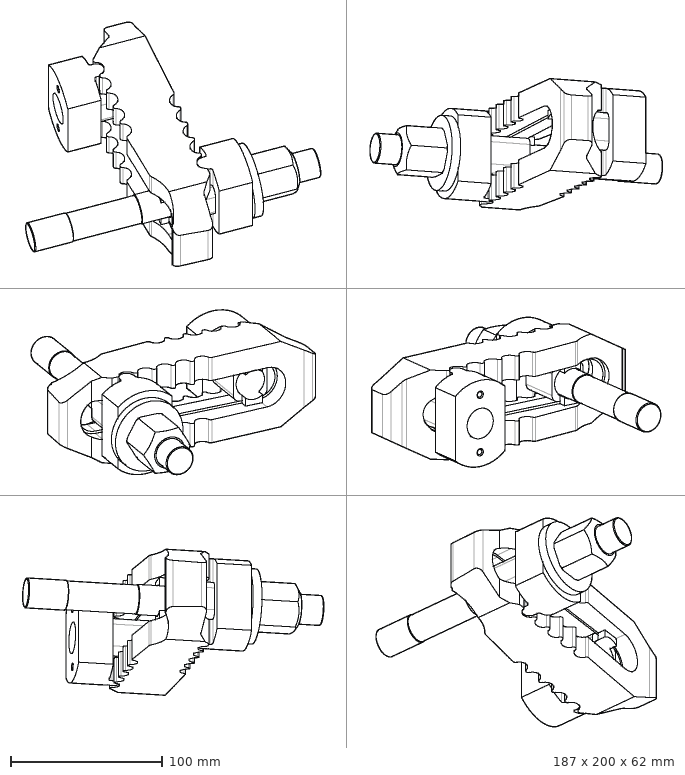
import cadquery as cq
import math


BAR_WIDTH = 62.0
BAR_LEFT = -143.0
BAR_RIGHT = 44.3
CREST_Y = 21.05
END_HALF_WIDTH = 15.0
END_TAPER_ANGLE = 30.0
CORNER_RADIUS = 4.0

HEEL_TOP_Y = 17.8
HEEL_BOTTOM_Y = -1.9
HEEL_FLAT_END_X = -133.0
HEEL_SLOPE_ANGLE = 41.3
HEEL_BLEND_RADIUS = 4.5

NOSE_TOP_Y = 12.9
NOSE_SLOPE_TOP_X = 11.0
NOSE_SLOPE_BOTTOM_X = 22.2
NOSE_FACE_ANGLE = 4.0
TOE_BOTTOM_Y = -14.1
TOE_INNER_X = 38.0
ARCH_RADIUS = 31.0
ARCH_CENTER_X = 20.4
ARCH_TOP_Y = -9.3
ARCH_LEFT_X = 0.0
BELLY_BLEND_RADIUS = 4.0

GROOVE_PITCH = 14.0
GROOVE_COUNT = 5
GROOVE_RADIUS = 5.5
GROOVE_DEPTH = 5.2

SLOT_LEFT_CENTER = -104.8
SLOT_RIGHT_CENTER = 15.8
SLOT_WIDTH = 28.4
LIP_SLOT_WIDTH = 25.0
LIP_HALF_THICKNESS = 6.0

SADDLE_SPAN = 99.0
SADDLE_DIAMETER = 60.0
SADDLE_WIDTH = 40.0
SADDLE_INNER_Y = 24.4
SADDLE_OUTER_Y = 47.8
SADDLE_BORE = 21.0
TONGUE_ROOT_RADIUS = 1.5
SHANK_WIDTH = 25.0
SHANK_CORNER_RADIUS = 5.0
LUG_WIDTH = 12.6
LUG_LENGTH = SLOT_WIDTH
LUG_THICKNESS = 5.6
PIN_HOLE_OFFSET = 20.0
PIN_HOLE_DIAMETER = 3.6
PIN_HOLE_DEPTH = 10.0
PIN_HOLE_CHAMFER = 0.7
PIN_POINT_ANGLE = 118.0

WASHER_DIAMETER = 50.0
WASHER_THICKNESS = 6.0
NUT_ACROSS_FLATS = 30.0
NUT_HEIGHT = 30.0
NUT_TOP_RADIUS = 11.1
NUT_TOP_CONE_HEIGHT = 4.0
NUT_BOTTOM_RADIUS = 16.3
NUT_BOTTOM_CONE_HEIGHT = 1.0
STUD_DIAMETER = 20.0
STUD_BOTTOM_Y = -100.9
STUD_LENGTH = 200.0
NECK_DIAMETER = 19.2
NECK_BOTTOM_Y = -73.7
NECK_TOP_Y = -26.1
STUD_CHAMFER = 0.6

NUT_CORNER_RADIUS = NUT_ACROSS_FLATS / 2 / math.cos(math.radians(30))
GROOVE_BOTTOM_Y = CREST_Y - GROOVE_DEPTH
GROOVE_CENTER_Y = GROOVE_BOTTOM_Y + GROOVE_RADIUS

HALF_PITCH = GROOVE_PITCH / 2
ARC_CENTER_DISTANCE = (HALF_PITCH**2 + GROOVE_DEPTH**2) / (2 * GROOVE_DEPTH)
CREST_RADIUS = ARC_CENTER_DISTANCE - GROOVE_RADIUS
CREST_CENTER_Y = CREST_Y - CREST_RADIUS


def cylinder_y(radius, y_start, y_end):
    """Cylinder on the Y axis."""
    return cq.Workplane("XZ", origin=(0, y_start, 0)).circle(radius).extrude(y_start - y_end)


def fillet_edge_at(body, x, y, radius):
    """Round the Z-parallel edge nearest to (x, y)."""
    return body.edges("|Z").edges(cq.NearestToPointSelector((x, y, 0))).fillet(radius)


def arch_y(x):
    """Height of the arch under the nose."""
    offset = x - ARCH_CENTER_X
    return ARCH_TOP_Y - ARCH_RADIUS + math.sqrt(ARCH_RADIUS**2 - offset**2)


def add_wave(outline, first_x, step, side):
    """Extend the outline from one crest top to the last, through a row of grooves.

    step is the signed pitch along X, and side is 1 for the +Y face or -1 for the -Y face.
    """
    direction = math.copysign(1, step)
    flank_share = GROOVE_RADIUS / ARC_CENTER_DISTANCE
    flank_x = direction * HALF_PITCH * flank_share
    flank_y = side * (GROOVE_CENTER_Y + (CREST_CENTER_Y - GROOVE_CENTER_Y) * flank_share)
    half_turn = math.asin(HALF_PITCH / ARC_CENTER_DISTANCE) / 2
    crest_mid_x = direction * (HALF_PITCH - CREST_RADIUS * math.sin(half_turn))
    crest_mid_y = side * (CREST_CENTER_Y + CREST_RADIUS * math.cos(half_turn))
    for i in range(GROOVE_COUNT):
        x = first_x + i * step
        outline = (
            outline
            .threePointArc((x - crest_mid_x, crest_mid_y), (x - flank_x, flank_y))
            .threePointArc((x, side * GROOVE_BOTTOM_Y), (x + flank_x, flank_y))
            .threePointArc((x + crest_mid_x, crest_mid_y), (x + direction * HALF_PITCH, side * CREST_Y))
        )
    return outline


def bar_blank():
    row_length = (GROOVE_COUNT - 1) * GROOVE_PITCH
    heel_angle = math.radians(HEEL_SLOPE_ANGLE)
    first_crest_x = -SADDLE_SPAN - HALF_PITCH
    heel_foot = (
        first_crest_x - CREST_RADIUS * math.sin(heel_angle),
        -CREST_CENTER_Y - CREST_RADIUS * math.cos(heel_angle),
    )
    heel_start = (heel_foot[0] - (HEEL_BOTTOM_Y - heel_foot[1]) / math.tan(heel_angle), HEEL_BOTTOM_Y)
    heel_foot_mid = (
        first_crest_x - CREST_RADIUS * math.sin(heel_angle / 2),
        -CREST_CENTER_Y - CREST_RADIUS * math.cos(heel_angle / 2),
    )
    toe_x = BAR_RIGHT - (NOSE_TOP_Y - TOE_BOTTOM_Y) * math.tan(math.radians(NOSE_FACE_ANGLE))
    toe = (toe_x, TOE_BOTTOM_Y)
    nose_corner = (BAR_RIGHT, NOSE_TOP_Y)
    belly_end = (ARCH_LEFT_X, arch_y(ARCH_LEFT_X))

    outline = (
        cq.Workplane("XY")
        .moveTo(BAR_LEFT, HEEL_BOTTOM_Y)
        .lineTo(BAR_LEFT, HEEL_TOP_Y)
        .lineTo(HEEL_FLAT_END_X, HEEL_TOP_Y)
        .lineTo(-row_length - HALF_PITCH, CREST_Y)
    )
    outline = add_wave(outline, -row_length, GROOVE_PITCH, 1)
    outline = (
        outline
        .lineTo(NOSE_SLOPE_TOP_X, CREST_Y)
        .lineTo(NOSE_SLOPE_BOTTOM_X, NOSE_TOP_Y)
        .lineTo(*nose_corner)
        .lineTo(*toe)
        .lineTo(TOE_INNER_X, TOE_BOTTOM_Y)
        .lineTo(TOE_INNER_X, arch_y(TOE_INNER_X))
        .threePointArc((ARCH_CENTER_X, ARCH_TOP_Y), belly_end)
        .lineTo(-SADDLE_SPAN + row_length + HALF_PITCH, -CREST_Y)
    )
    outline = add_wave(outline, -SADDLE_SPAN + row_length, -GROOVE_PITCH, -1)
    outline = outline.threePointArc(heel_foot_mid, heel_foot).lineTo(*heel_start).close()
    blank = outline.extrude(BAR_WIDTH / 2, both=True)

    blank = fillet_edge_at(blank, BAR_LEFT, HEEL_BOTTOM_Y, CORNER_RADIUS)
    blank = fillet_edge_at(blank, BAR_LEFT, HEEL_TOP_Y, CORNER_RADIUS)
    blank = fillet_edge_at(blank, *heel_start, HEEL_BLEND_RADIUS)
    blank = fillet_edge_at(blank, *nose_corner, CORNER_RADIUS)
    blank = fillet_edge_at(blank, *toe, CORNER_RADIUS)
    return fillet_edge_at(blank, *belly_end, BELLY_BLEND_RADIUS)


def slot_cutter(width, y_start, y_end):
    length = SLOT_RIGHT_CENTER - SLOT_LEFT_CENTER + width
    middle = (SLOT_LEFT_CENTER + SLOT_RIGHT_CENTER) / 2
    return (
        cq.Workplane("XZ", origin=(middle, y_start, 0)).slot2D(length, width).extrude(y_start - y_end)
    )


def make_bar():
    bar = bar_blank()

    half = BAR_WIDTH / 2
    taper = (half - END_HALF_WIDTH) / math.tan(math.radians(END_TAPER_ANGLE))
    plan = (
        cq.Workplane("XZ")
        .polyline([
            (BAR_LEFT, -END_HALF_WIDTH), (BAR_LEFT, END_HALF_WIDTH),
            (BAR_LEFT + taper, half), (BAR_RIGHT - taper, half),
            (BAR_RIGHT, END_HALF_WIDTH), (BAR_RIGHT, -END_HALF_WIDTH),
            (BAR_RIGHT - taper, -half), (BAR_LEFT + taper, -half),
        ])
        .close()
        .extrude(BAR_WIDTH, both=True)
    )
    bar = bar.intersect(plan)

    bar = bar.cut(slot_cutter(LIP_SLOT_WIDTH, -BAR_WIDTH, BAR_WIDTH))
    bar = bar.cut(slot_cutter(SLOT_WIDTH, LIP_HALF_THICKNESS, BAR_WIDTH))
    return bar.cut(slot_cutter(SLOT_WIDTH, -BAR_WIDTH, -LIP_HALF_THICKNESS))


def make_saddle():
    """Saddle for the +Y face, on the Y axis."""
    depth = SADDLE_OUTER_Y - GROOVE_BOTTOM_Y
    body = cq.Workplane("XY").box(SADDLE_WIDTH, SADDLE_OUTER_Y - SADDLE_INNER_Y, SADDLE_DIAMETER).translate(
        (0, (SADDLE_OUTER_Y + SADDLE_INNER_Y) / 2, 0))
    tongue = (
        cq.Workplane("XY")
        .moveTo(-GROOVE_RADIUS, SADDLE_OUTER_Y)
        .lineTo(-GROOVE_RADIUS, GROOVE_CENTER_Y)
        .threePointArc((0, GROOVE_BOTTOM_Y), (GROOVE_RADIUS, GROOVE_CENTER_Y))
        .lineTo(GROOVE_RADIUS, SADDLE_OUTER_Y)
        .close()
        .extrude(SADDLE_DIAMETER / 2, both=True)
    )
    body = body.union(tongue)
    for side in (-1, 1):
        body = fillet_edge_at(body, side * GROOVE_RADIUS, SADDLE_INNER_Y, TONGUE_ROOT_RADIUS)
    body = body.intersect(cylinder_y(SADDLE_DIAMETER / 2, SADDLE_OUTER_Y - depth, SADDLE_OUTER_Y))

    shank_length = SADDLE_INNER_Y + LIP_HALF_THICKNESS
    shank = (
        cq.Workplane("XZ", origin=(0, SADDLE_INNER_Y, 0))
        .rect(SHANK_WIDTH, SHANK_WIDTH)
        .extrude(shank_length)
        .edges("|Y").fillet(SHANK_CORNER_RADIUS)
    )
    lug = (
        cq.Workplane("XZ", origin=(0, -LIP_HALF_THICKNESS, 0))
        .rect(LUG_WIDTH, LUG_LENGTH).extrude(LUG_THICKNESS)
    )
    body = body.union(shank).union(lug)
    body = body.cut(cylinder_y(SADDLE_BORE / 2, -BAR_WIDTH, BAR_WIDTH))

    for side in (-1, 1):
        hole = cylinder_y(PIN_HOLE_DIAMETER / 2, SADDLE_OUTER_Y - PIN_HOLE_DEPTH, SADDLE_OUTER_Y)
        countersink = (
            cq.Workplane("XZ", origin=(0, SADDLE_OUTER_Y, 0))
            .circle(PIN_HOLE_DIAMETER / 2 + PIN_HOLE_CHAMFER)
            .workplane(offset=PIN_HOLE_CHAMFER).circle(PIN_HOLE_DIAMETER / 2).loft()
        )
        point = cq.Workplane("XY").add(cq.Solid.makeCone(
            PIN_HOLE_DIAMETER / 2, 0, PIN_HOLE_DIAMETER / 2 / math.tan(math.radians(PIN_POINT_ANGLE / 2)),
            pnt=cq.Vector(0, SADDLE_OUTER_Y - PIN_HOLE_DEPTH, 0), dir=cq.Vector(0, -1, 0)))
        body = body.cut(hole.union(countersink).union(point).translate((0, 0, side * PIN_HOLE_OFFSET)))
    return body


def make_washer():
    top = SADDLE_OUTER_Y + WASHER_THICKNESS
    disc = cylinder_y(WASHER_DIAMETER / 2, SADDLE_OUTER_Y, top)
    return disc.cut(cylinder_y(SADDLE_BORE / 2, SADDLE_OUTER_Y, top))


def make_nut():
    base = SADDLE_OUTER_Y + WASHER_THICKNESS
    top = base + NUT_HEIGHT
    hexagon = (
        cq.Workplane("XZ", origin=(0, base, 0))
        .polygon(6, 2 * NUT_CORNER_RADIUS).extrude(-NUT_HEIGHT)
    )
    envelope = (
        cq.Workplane("XY")
        .polyline([
            (0, base), (NUT_BOTTOM_RADIUS, base),
            (NUT_CORNER_RADIUS, base + NUT_BOTTOM_CONE_HEIGHT),
            (NUT_CORNER_RADIUS, top - NUT_TOP_CONE_HEIGHT),
            (NUT_TOP_RADIUS, top), (0, top),
        ])
        .close()
        .revolve(360, (0, 0, 0), (0, 1, 0))
    )
    return hexagon.intersect(envelope).cut(cylinder_y(STUD_DIAMETER / 2, base, top))


def make_stud():
    top = STUD_BOTTOM_Y + STUD_LENGTH
    radius = STUD_DIAMETER / 2
    neck = NECK_DIAMETER / 2
    step = radius - neck
    return (
        cq.Workplane("XY")
        .polyline([
            (0, STUD_BOTTOM_Y), (radius - STUD_CHAMFER, STUD_BOTTOM_Y),
            (radius, STUD_BOTTOM_Y + STUD_CHAMFER),
            (radius, NECK_BOTTOM_Y - step), (neck, NECK_BOTTOM_Y),
            (neck, NECK_TOP_Y), (radius, NECK_TOP_Y + step),
            (radius, top - STUD_CHAMFER), (radius - STUD_CHAMFER, top), (0, top),
        ])
        .close()
        .revolve(360, (0, 0, 0), (0, 1, 0))
    )


bar = make_bar()
upper_saddle = make_saddle()
lower_saddle = make_saddle().rotate((0, 0, 0), (0, 0, 1), 180).translate((-SADDLE_SPAN, 0, 0))
washer = make_washer()
nut = make_nut()
stud = make_stud()
result = cq.Compound.makeCompound(
    [bar.val(), upper_saddle.val(), lower_saddle.val(), washer.val(), nut.val(), stud.val()])